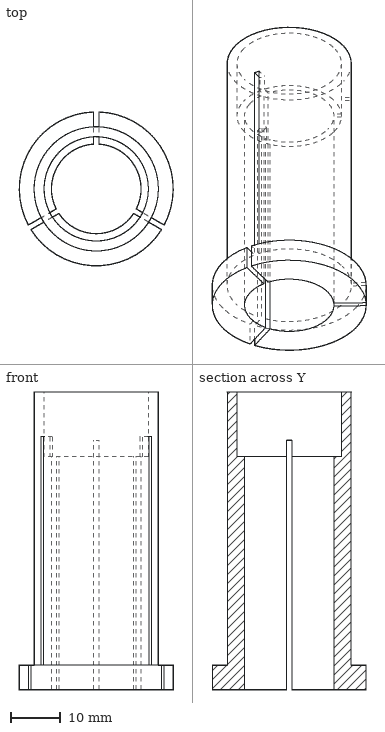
import cadquery as cq

total_height = 60.0
flange_diameter = 31.0
flange_height = 5.0
tube_diameter = 25.0

narrow_bore_diameter = 18.0
wide_bore_diameter = 21.0
ledge_height = 47.0

slot_width = 1.0
slot_spacing = 120
back_slot_angle = 90
back_slot_top = 50.2
side_slot_top = 51.0


def cylinder(diameter, bottom, top):
    return cq.Workplane("XY").workplane(offset=bottom).circle(diameter / 2).extrude(top - bottom)


def radial_slot(angle, top):
    """Slot from the axis out through the flange rim, open at the bottom."""
    length = flange_diameter
    slot = cq.Workplane("XY").box(length, slot_width, top, centered=(False, True, False))
    return slot.rotate((0, 0, 0), (0, 0, 1), angle)


body = cylinder(flange_diameter, 0, flange_height)
body = body.union(cylinder(tube_diameter, 0, total_height))

body = body.cut(cylinder(narrow_bore_diameter, 0, total_height))
body = body.cut(cylinder(wide_bore_diameter, ledge_height, total_height))

body = body.cut(radial_slot(back_slot_angle, back_slot_top))
for side in (-1, 1):
    body = body.cut(radial_slot(back_slot_angle + side * slot_spacing, side_slot_top))

result = body